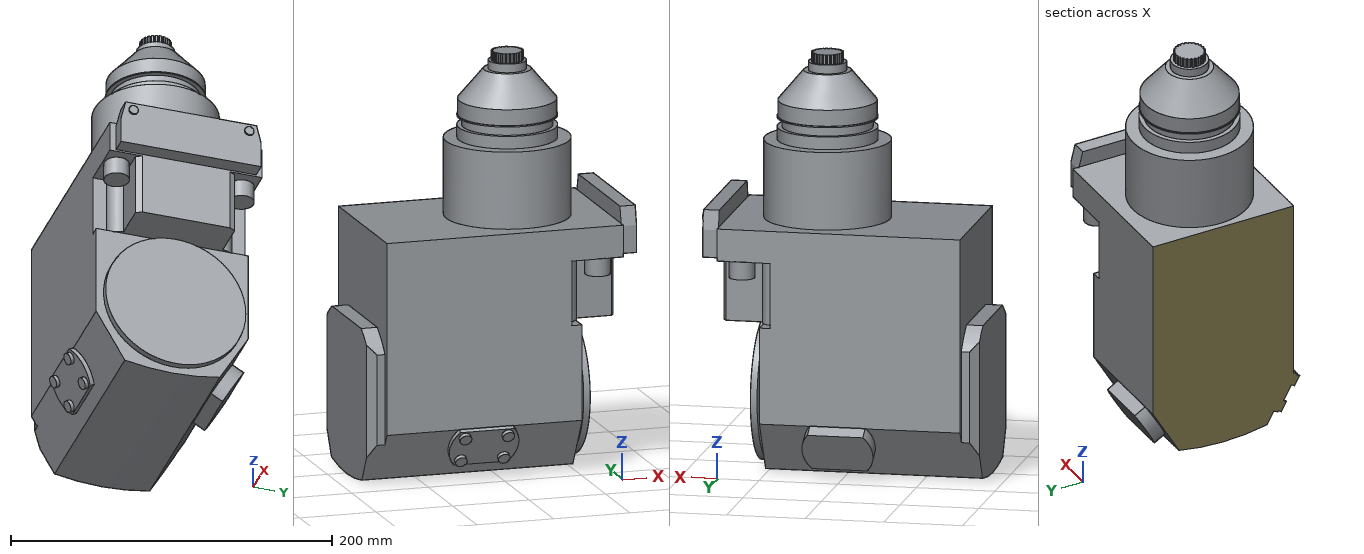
import cadquery as cq
import math


HOUSING_LEFT = -94.5
HOUSING_RIGHT = 60.0
HOUSING_HALF_WIDTH = 50.0
LOWER_RIGHT = 33.0
HEAD_BOTTOM = -20.5
SHOULDER_Z = -123.3
SLOPE_END_Z = -155.8
HOUSING_BOTTOM = -159.0
SLOPE_ANGLE = 60.0

NECK_BOTTOM = -62.0
NECK_HALF_WIDTH = 32.6
NECK_CHAMFER = 2.2
NECK_CHAMFER_DEPTH = 3.8
RECESS_LEFT = 26.3
RECESS_RADIUS = 8.3
PIN_DIAMETER = 16.0
PIN_X = 46.0
PIN_Y = 41.0
PIN_LENGTH = 11.6

COVER_LEFT = -105.0
COVER_TOP = -58.6
COVER_HALF_WIDTH = 46.0
COVER_RADIUS = 59.5
COVER_CHAMFER = 5.2

OUTPUT_Z = -110.0
OUTPUT_HUB_DIAMETER = 78.0
OUTPUT_FLANGE_DIAMETER = 92.0
OUTPUT_HUB_END = 35.4
OUTPUT_FLANGE_END = 39.7

PLATE_THICKNESS = 10.0
PLATE_TOP = 10.5
PLATE_BOTTOM = -19.3
PLATE_HALF_WIDTH = 46.0
PLATE_TOP_HALF_WIDTH = 43.0
PLATE_TAPER_Z = -1.8
STUD_DIAMETER = 6.0
STUD_LENGTH = 1.0
STUD_Y = 38.0
STUD_Z = 5.2

SPINDLE_STEPS = [
    (79.78, 49.5),
    (63.0, 57.5),
    (57.0, 63.5),
    (63.0, 64.3),
    (62.0, 74.5),
]
CONE_TOP_DIAMETER = 30.0
CONE_TOP = 93.5
PILOT_DIAMETER = 24.0
PILOT_TOP = 99.0
SPLINE_TOP = 105.0
SPLINE_TEETH = 24
SPLINE_TIP_RADIUS = 10.0
SPLINE_ROOT_RADIUS = 9.2
SPLINE_TIP_FRACTION = 0.45
SPLINE_BASE_FRACTION = 0.75

PAD_DIAMETER = 45.0
PAD_HALF_HEIGHT = 14.0
PAD_OVERHANG = 0.4
FRONT_PAD_X = -29.7
FRONT_PAD_THICKNESS = 3.0
REAR_PAD_X = -16.7
REAR_PAD_THICKNESS = 8.7
SCREW_DIAMETER = 7.6
SCREW_HEAD_HEIGHT = 2.5
SCREW_PITCH_X = 28.0
SCREW_PITCH_SLOPE = 18.8


def box(x_min, x_max, half_width, z_min, z_max):
    """Box that is centred on Y = 0."""
    return (
        cq.Workplane("XY")
        .box(x_max - x_min, 2 * half_width, z_max - z_min, centered=False)
        .translate((x_min, -half_width, z_min))
    )


def cylinder_x(diameter, x_start, x_end, y, z):
    """Cylinder that runs along +X."""
    return (
        cq.Workplane("YZ", origin=(x_start, y, z))
        .circle(diameter / 2)
        .extrude(x_end - x_start)
    )


def slope_profile(half_width, x_start, x_end):
    """Body with sloped lower sides and an arched bottom; its top is at Z = 0."""
    slope_run = (SHOULDER_Z - SLOPE_END_Z) / math.tan(math.radians(SLOPE_ANGLE))
    bottom_half_width = HOUSING_HALF_WIDTH - slope_run
    shoulder_drop = (HOUSING_HALF_WIDTH - half_width) * math.tan(math.radians(SLOPE_ANGLE))
    shoulder_z = SHOULDER_Z - shoulder_drop
    return (
        cq.Workplane("YZ", origin=(x_start, 0, 0))
        .moveTo(-half_width, 0)
        .lineTo(-half_width, shoulder_z)
        .lineTo(-bottom_half_width, SLOPE_END_Z)
        .threePointArc((0, HOUSING_BOTTOM), (bottom_half_width, SLOPE_END_Z))
        .lineTo(half_width, shoulder_z)
        .lineTo(half_width, 0)
        .close()
        .extrude(x_end - x_start)
    )


def make_housing():
    body = slope_profile(HOUSING_HALF_WIDTH, HOUSING_LEFT, LOWER_RIGHT)
    head = box(HOUSING_LEFT, HOUSING_RIGHT, HOUSING_HALF_WIDTH, HEAD_BOTTOM, 0)
    neck_space = box(RECESS_LEFT, LOWER_RIGHT, HOUSING_HALF_WIDTH, NECK_BOTTOM, HEAD_BOTTOM)
    return body.cut(neck_space).union(head)


def make_neck():
    """Neck block with small chamfers on the right and rounded inner corners on the left."""
    chamfer_x = HOUSING_RIGHT - NECK_CHAMFER
    end_half_width = NECK_HALF_WIDTH - NECK_CHAMFER_DEPTH
    rounding_x = RECESS_LEFT + RECESS_RADIUS
    rounding_y = NECK_HALF_WIDTH + RECESS_RADIUS
    return (
        cq.Workplane("XY", origin=(0, 0, NECK_BOTTOM))
        .moveTo(RECESS_LEFT, -rounding_y)
        .radiusArc((rounding_x, -NECK_HALF_WIDTH), -RECESS_RADIUS)
        .lineTo(chamfer_x, -NECK_HALF_WIDTH)
        .lineTo(HOUSING_RIGHT, -end_half_width)
        .lineTo(HOUSING_RIGHT, end_half_width)
        .lineTo(chamfer_x, NECK_HALF_WIDTH)
        .lineTo(rounding_x, NECK_HALF_WIDTH)
        .radiusArc((RECESS_LEFT, rounding_y), -RECESS_RADIUS)
        .close()
        .extrude(HEAD_BOTTOM - NECK_BOTTOM)
    )


def make_pin():
    return (
        cq.Workplane("XY", origin=(PIN_X, -PIN_Y, HEAD_BOTTOM))
        .circle(PIN_DIAMETER / 2)
        .extrude(-PIN_LENGTH)
    )


def make_cover():
    """Left cover: rounded upper corners, chamfered sides and the housing slope below."""
    cover = slope_profile(COVER_HALF_WIDTH, COVER_LEFT, HOUSING_LEFT)
    cover = cover.edges("<X and |Z").chamfer(COVER_CHAMFER)
    cover = cover.intersect(
        box(COVER_LEFT, HOUSING_LEFT, HOUSING_HALF_WIDTH, HOUSING_BOTTOM, COVER_TOP)
    )
    rounding = cylinder_x(2 * COVER_RADIUS, COVER_LEFT, HOUSING_LEFT, 0, OUTPUT_Z)
    below_axis = box(COVER_LEFT, HOUSING_LEFT, HOUSING_HALF_WIDTH, HOUSING_BOTTOM, OUTPUT_Z)
    return cover.intersect(rounding.union(below_axis))


def make_output():
    hub = cylinder_x(OUTPUT_HUB_DIAMETER, LOWER_RIGHT, OUTPUT_HUB_END, 0, OUTPUT_Z)
    flange = cylinder_x(OUTPUT_FLANGE_DIAMETER, OUTPUT_HUB_END, OUTPUT_FLANGE_END, 0, OUTPUT_Z)
    return hub.union(flange)


def make_end_plate():
    plate = (
        cq.Workplane("YZ", origin=(HOUSING_RIGHT, 0, 0))
        .moveTo(-PLATE_HALF_WIDTH, PLATE_BOTTOM)
        .lineTo(-PLATE_HALF_WIDTH, PLATE_TAPER_Z)
        .lineTo(-PLATE_TOP_HALF_WIDTH, PLATE_TOP)
        .lineTo(PLATE_TOP_HALF_WIDTH, PLATE_TOP)
        .lineTo(PLATE_HALF_WIDTH, PLATE_TAPER_Z)
        .lineTo(PLATE_HALF_WIDTH, PLATE_BOTTOM)
        .close()
        .extrude(PLATE_THICKNESS)
    )
    plate_right = HOUSING_RIGHT + PLATE_THICKNESS
    for y in (-STUD_Y, STUD_Y):
        plate = plate.union(
            cylinder_x(STUD_DIAMETER, plate_right, plate_right + STUD_LENGTH, y, STUD_Z)
        )
    return plate


def make_spindle():
    """Stepped body of revolution about the Z axis."""
    outline = cq.Workplane("XZ").moveTo(0, 0)
    bottom = 0
    for diameter, top in SPINDLE_STEPS:
        outline = outline.lineTo(diameter / 2, bottom)
        outline = outline.lineTo(diameter / 2, top)
        bottom = top
    outline = (
        outline.lineTo(CONE_TOP_DIAMETER / 2, CONE_TOP)
        .lineTo(PILOT_DIAMETER / 2, CONE_TOP)
        .lineTo(PILOT_DIAMETER / 2, PILOT_TOP)
        .lineTo(0, PILOT_TOP)
        .close()
    )
    return outline.revolve(360, (0, 0, 0), (0, 1, 0))


def make_spline():
    """Toothed shaft end: straight-sided teeth around a root circle."""
    pitch = 2 * math.pi / SPLINE_TEETH
    half_tip = SPLINE_TIP_FRACTION * pitch / 2
    half_base = SPLINE_BASE_FRACTION * pitch / 2
    corners = [
        (SPLINE_ROOT_RADIUS, -half_base),
        (SPLINE_TIP_RADIUS, -half_tip),
        (SPLINE_TIP_RADIUS, half_tip),
        (SPLINE_ROOT_RADIUS, half_base),
    ]
    points = []
    for tooth in range(SPLINE_TEETH):
        for radius, offset in corners:
            angle = tooth * pitch + offset
            points.append((radius * math.cos(angle), radius * math.sin(angle)))
    return (
        cq.Workplane("XY", origin=(0, 0, PILOT_TOP))
        .polyline(points)
        .close()
        .extrude(SPLINE_TOP - PILOT_TOP)
    )


def slope_plane(side, x):
    """Plane on a sloped face at a pad centre; side is -1 for front, +1 for rear.

    Its local Y axis runs along the slope and its normal points outward.
    """
    slope = math.radians(SLOPE_ANGLE)
    distance = PAD_HALF_HEIGHT - PAD_OVERHANG
    y = side * (HOUSING_HALF_WIDTH - distance * math.cos(slope))
    z = SHOULDER_Z - distance * math.sin(slope)
    return cq.Plane(
        origin=(x, y, z),
        xDir=(1, 0, 0),
        normal=(0, side * math.sin(slope), -math.cos(slope)),
    )


def make_pad(plane, thickness):
    disc = cq.Workplane(plane).circle(PAD_DIAMETER / 2).extrude(thickness)
    band = cq.Workplane(plane).rect(PAD_DIAMETER, 2 * PAD_HALF_HEIGHT).extrude(thickness)
    return disc.intersect(band)


def make_front_pad():
    """Thin pad that is held by four screws."""
    plane = slope_plane(-1, FRONT_PAD_X)
    screws = (
        cq.Workplane(plane)
        .rect(SCREW_PITCH_X, SCREW_PITCH_SLOPE, forConstruction=True)
        .vertices()
        .circle(SCREW_DIAMETER / 2)
        .extrude(FRONT_PAD_THICKNESS + SCREW_HEAD_HEIGHT)
    )
    return make_pad(plane, FRONT_PAD_THICKNESS).union(screws)


def make_rear_pad():
    return make_pad(slope_plane(1, REAR_PAD_X), REAR_PAD_THICKNESS)


pin = make_pin()

result = make_housing().union(make_neck())
result = result.union(pin).union(pin.mirror("XZ"))
result = result.union(make_cover())
result = result.union(make_output())
result = result.union(make_end_plate())
result = result.union(make_spindle())
result = result.union(make_spline())
result = result.union(make_front_pad())
result = result.union(make_rear_pad())